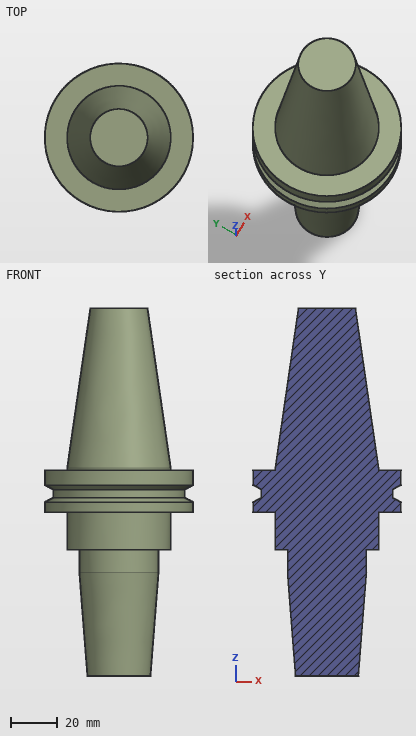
import cadquery as cq

total_length = 157.2

nose_tip_radius = 13.5
nose_radius = 17.0
nose_taper_height = 44.3
nose_top = 53.9

collar_radius = 22.2
flange_bottom = 70.0

flange_radius = 31.7
flange_top = 88.0
groove_floor_radius = 28.1
groove_bottom = 74.3
groove_floor_bottom = 76.2
groove_floor_top = 79.7
groove_top = 81.5

taper_base_radius = 22.2
taper_base_height = 89.0
taper_tip_radius = 12.3

profile = [
    (0, 0),
    (nose_tip_radius, 0),
    (nose_radius, nose_taper_height),
    (nose_radius, nose_top),
    (collar_radius, nose_top),
    (collar_radius, flange_bottom),
    (flange_radius, flange_bottom),
    (flange_radius, groove_bottom),
    (groove_floor_radius, groove_floor_bottom),
    (groove_floor_radius, groove_floor_top),
    (flange_radius, groove_top),
    (flange_radius, flange_top),
    (taper_base_radius, flange_top),
    (taper_base_radius, taper_base_height),
    (taper_tip_radius, total_length),
    (0, total_length),
]

result = cq.Workplane("XZ").polyline(profile).close().revolve(360, (0, 0, 0), (0, 1, 0))